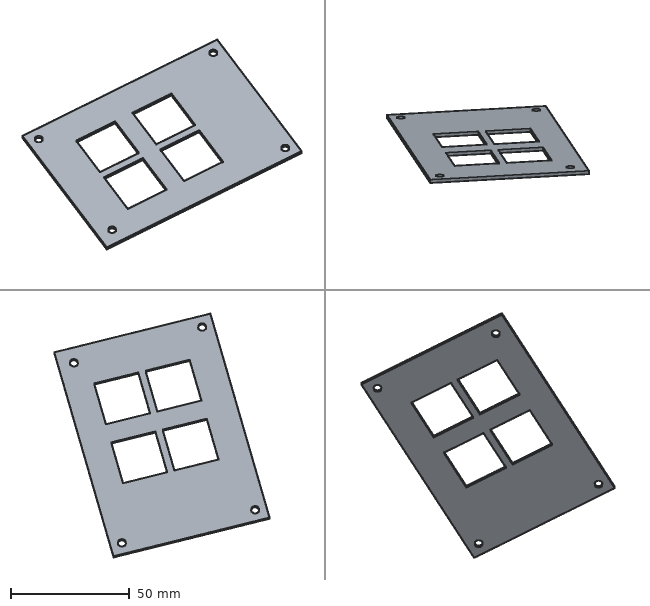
import cadquery as cq

width = 68.0
length = 96.0
thickness = 1.5

hole_diameter = 3.4
corner_inset = 5.0
offset_corner_inset = 6.7

window_size = 19.2
window_pitch_x = 22.4
window_pitch_y = 27.7
grid_center_x = 0.7
grid_center_y = -6.5


def corner_point(side_x, side_y, inset):
    """Point set in by the same distance from both edges of one plate corner."""
    return (side_x * (width / 2 - inset), side_y * (length / 2 - inset))


hole_points = [
    corner_point(-1, 1, corner_inset),
    corner_point(1, 1, corner_inset),
    corner_point(-1, -1, corner_inset),
    corner_point(1, -1, offset_corner_inset),
]

window_points = [
    (grid_center_x + side_x * window_pitch_x / 2, grid_center_y + side_y * window_pitch_y / 2)
    for side_x in (-1, 1)
    for side_y in (-1, 1)
]

plate = cq.Workplane("XY").rect(width, length).extrude(thickness)
holes = cq.Workplane("XY").pushPoints(hole_points).circle(hole_diameter / 2).extrude(thickness)
windows = cq.Workplane("XY").pushPoints(window_points).rect(window_size, window_size).extrude(thickness)

result = plate.cut(holes).cut(windows)